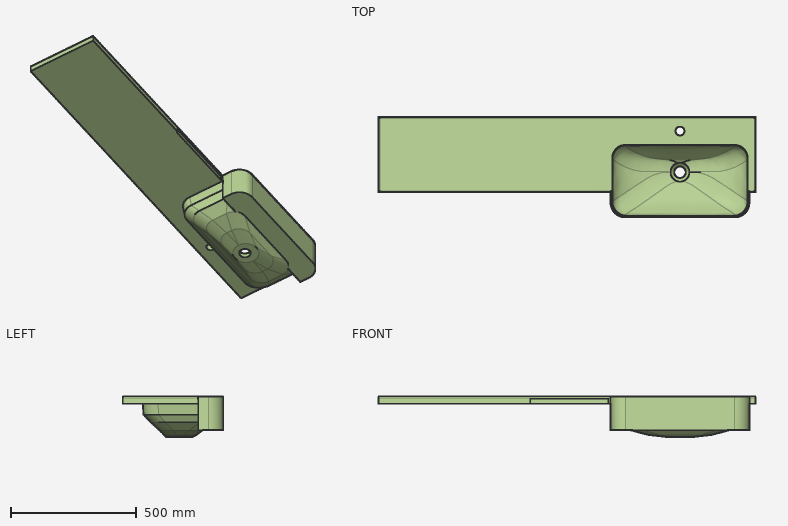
import cadquery as cq

length = 1500.0
slab_depth = 300.0
slab_height = 32.0
edge_fillet = 6.0

overall_depth = 400.0
apron_left = 923.0
apron_right = 1476.0
apron_height = 135.0
apron_radius = 60.0
basin_x = (apron_left + apron_right) / 2
apron_width = apron_right - apron_left
rim_chamfer = 3.0
total_height = 164.0

drain_y = -220.0
drain_radius = 23.0
drain_seat_radius = 38.0
drain_seat_top = -126.0
drain_seat_floor = -141.0
tap_y = -57.0
tap_radius = 17.3

floor_half_width = 33.0
floor_back = drain_y + floor_half_width
floor_front = drain_y - floor_half_width

shell_sections = [
    (-slab_height, apron_width - 6.0, -80.0, -398.0, 60.0),
    (-74.0, apron_width - 21.0, -83.0, -395.0, 60.0),
    (-105.0, 495.0, -113.0, -360.0, 57.0),
    (-apron_height, 402.0, -145.0, -320.0, 54.0),
    (-155.0, 255.0, -165.0, -294.0, 53.0),
    (-total_height, 104.0, -173.0, -276.0, 51.0),
]
rim_width = 534.0
rim_back = -114.0
rim_front = -393.0
rim_radius = 53.0
cavity_sections = [
    (0.0, rim_width, rim_back, rim_front, rim_radius),
    (-51.0, 519.0, -123.0, -381.0, 53.0),
    (-77.0, 465.0, -140.0, -363.0, 53.0),
    (-111.0, 255.0, -168.0, -291.0, 50.0),
    (drain_seat_top, 2 * floor_half_width, floor_back, floor_front, 32.0),
]

recess_left = 603.0
recess_right = 915.0
recess_top = -10.0
recess_depth = 5.0


def box(x0, x1, y0, y1, z0, z1):
    return cq.Workplane("XY").box(x1 - x0, y1 - y0, z1 - z0, centered=False).translate((x0, y0, z0))


def section_wire(z, width, back, front, radius):
    sketch = cq.Sketch().rect(width, back - front).vertices().fillet(radius)
    wire = sketch._faces.Faces()[0].outerWire()
    return wire.translate(cq.Vector(basin_x, (back + front) / 2, z))


def bowl(sections, ruled):
    wires = [section_wire(*section) for section in sections]
    return cq.Workplane(cq.Solid.makeLoft(wires, ruled))


def cylinder(y, radius, z0, z1):
    return cq.Workplane("XY").workplane(offset=z0).center(basin_x, y).circle(radius).extrude(z1 - z0)


def make_drain():
    seat = cq.Workplane("XY").workplane(offset=drain_seat_top).center(basin_x, drain_y)
    seat = seat.circle(drain_seat_radius)
    seat = seat.workplane(offset=drain_seat_floor - drain_seat_top).circle(drain_radius).loft()
    clearance = cylinder(drain_y, drain_seat_radius, drain_seat_top, 0)
    return seat.union(clearance).union(cylinder(drain_y, drain_radius, -total_height, 0))


def make_rim_flare():
    def section(z, offset):
        width = rim_width + 2 * offset
        return z, width, rim_back + offset, rim_front - offset, rim_radius + offset

    upper = section(0.0, rim_chamfer)
    lower = section(-2 * rim_chamfer, -rim_chamfer)
    return bowl([upper, lower], True)


def make_slab():
    slab = box(0, length, -slab_depth, 0, -slab_height, 0).faces(">Z").edges().fillet(edge_fillet)
    recess = box(recess_left, recess_right, -slab_depth, recess_depth - slab_depth, -slab_height, recess_top)
    return slab.cut(recess)


def make_apron():
    back = edge_fillet - slab_depth
    apron = box(apron_left, apron_right, -overall_depth, back, -apron_height, 0)
    apron = apron.edges("|Z and <Y").fillet(apron_radius).faces(">Z").edges("not >Y").chamfer(rim_chamfer)
    behind_skirt = box(apron_left, apron_right, -slab_depth, back, -apron_height, -slab_height)
    return apron.cut(behind_skirt)


body = make_slab().union(make_apron()).union(bowl(shell_sections, True))
body = body.cut(bowl(cavity_sections, False))
body = body.cut(make_rim_flare())
body = body.cut(make_drain())
result = body.cut(cylinder(tap_y, tap_radius, -slab_height, 0))